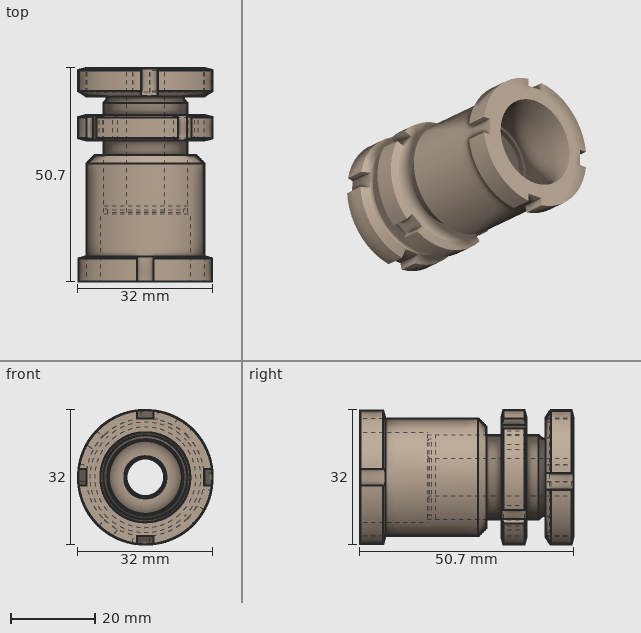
import cadquery as cq
import math


total_length = 50.71
collar_radius = 16.0
thread_radius = 10.0
slot_width = 4.0
slot_floor_radius = 14.0
slots_per_collar = 4
bevel_angle = 15.0
bevel_radial = 2.0
bevel_height = bevel_radial * math.tan(math.radians(bevel_angle))

sleeve_length = 30.0
sleeve_radius = 14.0
sleeve_chamfer = 2.0
flange_length = 6.0
clearance_radius = 10.7
clearance_depth = 16.0

nut_length = 6.0
nut_start = 33.54
nut_turn = 36.2

head_start = 44.0
head_length = total_length - head_start
head_bevel_angle = 33.0
head_bevel_height = bevel_radial * math.tan(math.radians(head_bevel_angle))
recess_radius = 13.15
recess_depth = 1.0
spindle_turn = 3.8
spindle_start = clearance_depth
point_radius = 9.05
point_length = 1.0
point_chamfer = 0.35
thread_chamfer = thread_radius - point_radius
hole_radius = 4.5
hole_chamfer = 0.5

neck_radius = 9.2
neck_end = 43.5
undercut_fillet = 0.8
cone_angle = math.radians(45)


def revolve_profile(profile):
    """Turn an XY profile (x = radius, y = axial position) about the Y axis."""
    return profile.close().revolve(360, (0, 0, 0), (0, 1, 0))


def cut_slots(body, start, length, turn):
    """Cut the spanner slots into a collar that spans start to start + length."""
    for index in range(slots_per_collar):
        slot = (
            cq.Workplane("XY")
            .box(slot_width, length, collar_radius, centered=(True, False, False))
            .translate((0, start, slot_floor_radius))
            .rotate((0, 0, 0), (0, 1, 0), turn + index * 360 / slots_per_collar)
        )
        body = body.cut(slot)
    return body


def make_sleeve():
    profile = (
        cq.Workplane("XY")
        .moveTo(clearance_radius, 0)
        .lineTo(collar_radius, 0)
        .lineTo(collar_radius, flange_length - bevel_height)
        .lineTo(sleeve_radius, flange_length)
        .lineTo(sleeve_radius, sleeve_length - sleeve_chamfer)
        .lineTo(sleeve_radius - sleeve_chamfer, sleeve_length)
        .lineTo(thread_radius, sleeve_length)
        .lineTo(thread_radius, clearance_depth)
        .lineTo(clearance_radius, clearance_depth)
    )
    return cut_slots(revolve_profile(profile), 0, flange_length, 0)


def make_lock_nut():
    nut_end = nut_start + nut_length
    profile = (
        cq.Workplane("XY")
        .moveTo(thread_radius, nut_start)
        .lineTo(collar_radius - bevel_radial, nut_start)
        .lineTo(collar_radius, nut_start + bevel_height)
        .lineTo(collar_radius, nut_end - bevel_height)
        .lineTo(collar_radius - bevel_radial, nut_end)
        .lineTo(thread_radius, nut_end)
    )
    return cut_slots(revolve_profile(profile), nut_start, nut_length, nut_turn)


def make_spindle():
    recess_floor = head_start + recess_depth
    thread_start = spindle_start + point_length + thread_chamfer

    def undercut_arc_point(angle):
        """Point on the arc that turns from the neck by the given angle."""
        radius = neck_radius + undercut_fillet * (1 - math.cos(angle))
        return radius, neck_end - undercut_fillet * math.sin(angle)

    cone_radius, cone_end = undercut_arc_point(cone_angle)
    thread_end = cone_end - (thread_radius - cone_radius) / math.tan(cone_angle)

    profile = (
        cq.Workplane("XY")
        .moveTo(hole_radius, spindle_start + hole_chamfer)
        .lineTo(hole_radius + hole_chamfer, spindle_start)
        .lineTo(point_radius - point_chamfer, spindle_start)
        .lineTo(point_radius, spindle_start + point_chamfer)
        .lineTo(point_radius, thread_start - thread_chamfer)
        .lineTo(thread_radius, thread_start)
        .lineTo(thread_radius, thread_end)
        .lineTo(cone_radius, cone_end)
        .threePointArc(undercut_arc_point(cone_angle / 2), (neck_radius, neck_end))
        .lineTo(neck_radius, recess_floor - undercut_fillet)
        .tangentArcPoint((neck_radius + undercut_fillet, recess_floor), relative=False)
        .lineTo(recess_radius, recess_floor)
        .lineTo(recess_radius, head_start)
        .lineTo(collar_radius - bevel_radial, head_start)
        .lineTo(collar_radius, head_start + head_bevel_height)
        .lineTo(collar_radius, total_length - bevel_height)
        .lineTo(collar_radius - bevel_radial, total_length)
        .lineTo(hole_radius, total_length)
    )
    return cut_slots(revolve_profile(profile), head_start, head_length, spindle_turn)


sleeve = make_sleeve()
lock_nut = make_lock_nut()
spindle = make_spindle()

result = cq.Compound.makeCompound([sleeve.val(), lock_nut.val(), spindle.val()])